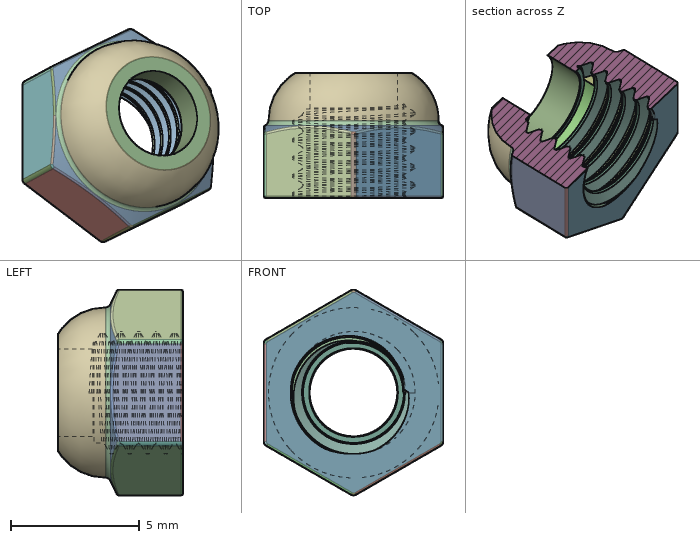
import cadquery as cq
import math

ACROSS_FLATS = 7.0
NUT_HEIGHT = 4.88

HEX_SIDES = 6
CORNER_FILLET = 0.2
FACE_EDGE_FILLET = 0.1
SHOULDER_FILLET = 0.1
SHOULDER_ANGLE = 26.0
SHOULDER_AT_FLAT = 2.81

DOME_RADIUS = 3.32
DOME_START = 3.04
DOME_ARC_RADIUS = 2.14
COLLAR_FILLET = 0.2
RIM_FILLET = 0.04
JOINT_TOLERANCE = 0.01

PITCH = 0.7
MINOR_RADIUS = 1.96
MAJOR_RADIUS = 2.39
ROOT_FLAT = PITCH / 8
FLANK_HALF_ANGLE = 30.0
THREAD_START = -0.18
THREAD_TURNS = 5
CREST_FILLET = 0.1
MOUTH_FILLET = 0.1
MOUTH_SECTIONS = 2
SPIRAL_STEPS = 12
FACE_OVERLAP = 0.01
STEP_TURN = 0.006
GROOVE_OVERLAP = 0.03
RING_BORE_RADIUS = 1.7
RING_HEIGHT = 1.4
RING_FILLET = 0.035

HALF_SIDE_ANGLE = 180 / HEX_SIDES
FLAT_RADIUS = ACROSS_FLATS / 2
CORNER_RADIUS = FLAT_RADIUS / math.cos(math.radians(HALF_SIDE_ANGLE))


def shoulder_height(radius):
    """Height of the conical shoulder at a distance from the axis."""
    return SHOULDER_AT_FLAT - (radius - FLAT_RADIUS) * math.tan(math.radians(SHOULDER_ANGLE))


def make_hex_body():
    """Hexagonal prism with rounded corners and a conical shoulder."""
    prism = (
        cq.Workplane("XY")
        .polygon(HEX_SIDES, 2 * CORNER_RADIUS)
        .extrude(DOME_START)
        .rotate((0, 0, 0), (0, 0, 1), HALF_SIDE_ANGLE)
        .edges("|Z")
        .fillet(CORNER_FILLET)
    )
    cone = (
        cq.Workplane("XZ")
        .moveTo(0, 0)
        .lineTo(CORNER_RADIUS, 0)
        .lineTo(CORNER_RADIUS, shoulder_height(CORNER_RADIUS))
        .lineTo(DOME_RADIUS, shoulder_height(DOME_RADIUS))
        .lineTo(0, shoulder_height(DOME_RADIUS))
        .close()
        .revolve(360, (0, 0), (0, 1))
    )
    body = prism.intersect(cone)
    shoulder_edges = (
        body.faces("%CONE").edges().filter(lambda edge: edge.geomType() != "CIRCLE")
    )
    body = body.newObject(shoulder_edges.vals()).fillet(SHOULDER_FILLET)
    return body.faces("<Z").edges().fillet(FACE_EDGE_FILLET)


def make_collar():
    """Domed collar: an arc that leaves a cylinder tangentially and ends at a flat rim."""
    def dome_point(height):
        rise = height - DOME_START
        inset = DOME_ARC_RADIUS - math.sqrt(DOME_ARC_RADIUS**2 - rise**2)
        return (DOME_RADIUS - inset, height)

    collar = (
        cq.Workplane("XZ")
        .moveTo(0, SHOULDER_AT_FLAT / 2)
        .lineTo(DOME_RADIUS, SHOULDER_AT_FLAT / 2)
        .lineTo(DOME_RADIUS, DOME_START)
        .threePointArc(dome_point((DOME_START + NUT_HEIGHT) / 2), dome_point(NUT_HEIGHT))
        .lineTo(0, NUT_HEIGHT)
        .close()
        .revolve(360, (0, 0), (0, 1))
    )
    return collar.faces(">Z").edges().fillet(RIM_FILLET)


def make_bore():
    """Stepped bore: the threaded hole, then the narrower hole of the locking ring."""
    ring_start = NUT_HEIGHT - RING_HEIGHT
    return (
        cq.Workplane("XZ")
        .moveTo(0, 0)
        .lineTo(MINOR_RADIUS, 0)
        .lineTo(MINOR_RADIUS, ring_start)
        .lineTo(RING_BORE_RADIUS + RING_FILLET, ring_start)
        .radiusArc((RING_BORE_RADIUS, ring_start + RING_FILLET), -RING_FILLET)
        .lineTo(RING_BORE_RADIUS, NUT_HEIGHT)
        .lineTo(0, NUT_HEIGHT)
        .close()
        .revolve(360, (0, 0), (0, 1))
    )


def make_thread_groove():
    """Right-handed helical groove: flat root, straight flanks, rounded crest edges."""
    flank_angle = math.radians(FLANK_HALF_ANGLE)
    root_half = ROOT_FLAT / 2
    mouth_half = root_half + (MAJOR_RADIUS - MINOR_RADIUS) * math.tan(flank_angle)
    crest_turn = math.pi / 2 - flank_angle
    tangent_length = CREST_FILLET * math.tan(crest_turn / 2)
    flank_end_radius = MINOR_RADIUS + tangent_length * math.cos(flank_angle)
    flank_end_half = mouth_half - tangent_length * math.sin(flank_angle)
    groove_half = mouth_half + tangent_length
    inner_radius = MINOR_RADIUS - GROOVE_OVERLAP

    helix = cq.Wire.makeHelix(PITCH, PITCH * THREAD_TURNS, MINOR_RADIUS)
    groove = (
        cq.Workplane("XZ")
        .moveTo(inner_radius, -groove_half)
        .lineTo(MINOR_RADIUS, -groove_half)
        .radiusArc((flank_end_radius, -flank_end_half), -CREST_FILLET)
        .lineTo(MAJOR_RADIUS, -root_half)
        .lineTo(MAJOR_RADIUS, root_half)
        .lineTo(flank_end_radius, flank_end_half)
        .radiusArc((MINOR_RADIUS, groove_half), -CREST_FILLET)
        .lineTo(inner_radius, groove_half)
        .close()
        .sweep(cq.Workplane(helix), isFrenet=True)
    )
    return groove.translate((0, 0, THREAD_START))


def make_spiral(start_radius, end_radius, start_turn, end_turn, height):
    """Edge about the axis whose radius changes evenly with the angle, given in turns."""
    points = []
    for step in range(SPIRAL_STEPS + 1):
        fraction = step / SPIRAL_STEPS
        radius = start_radius + fraction * (end_radius - start_radius)
        angle = 2 * math.pi * (start_turn + fraction * (end_turn - start_turn))
        points.append(cq.Vector(radius * math.cos(angle), radius * math.sin(angle), height))
    return cq.Edge.makeSpline(points)


def make_mouth_outline(depth, inset, climb_end):
    """Closed outline of the rounded thread mouth at one depth below the bearing face.

    It climbs inside the groove, follows the groove root, runs out along the
    overhanging flank, follows the bore and steps back to its start.
    """
    flank_slope = 1 / math.tan(math.radians(FLANK_HALF_ANGLE))
    root_half = ROOT_FLAT / 2
    wedge_offset = MOUTH_FILLET / math.tan(math.radians(FLANK_HALF_ANGLE / 2))

    root_radius = MAJOR_RADIUS + MOUTH_FILLET - inset
    bore_radius = MINOR_RADIUS + MOUTH_FILLET - inset

    def runout_turn(radius):
        rim_radius = radius + inset
        offset = root_half + (MAJOR_RADIUS + wedge_offset - rim_radius) / flank_slope
        return (offset - THREAD_START) / PITCH

    start_radius = MAJOR_RADIUS + flank_slope * (THREAD_START + root_half - depth) - GROOVE_OVERLAP
    root_end = runout_turn(root_radius)
    bore_start = runout_turn(bore_radius)
    step_angle = 2 * math.pi * STEP_TURN
    step = cq.Edge.makeLine(
        cq.Vector(bore_radius * math.cos(step_angle), bore_radius * math.sin(step_angle), depth),
        cq.Vector(start_radius * math.cos(step_angle), start_radius * math.sin(step_angle), depth),
    )
    return cq.Wire.assembleEdges([
        make_spiral(start_radius, root_radius, STEP_TURN, climb_end, depth),
        make_spiral(root_radius, root_radius, climb_end, root_end, depth),
        make_spiral(root_radius, bore_radius, root_end, bore_start, depth),
        make_spiral(bore_radius, bore_radius, bore_start, 1 + STEP_TURN, depth),
        step,
    ])


def make_mouth_rounding():
    """Cutter that rounds the edge between the bearing face and the threaded hole."""
    deepest = MOUTH_FILLET - FACE_OVERLAP
    climb_end = (deepest - ROOT_FLAT / 2 - THREAD_START) / PITCH
    outlines = []
    for section in range(MOUTH_SECTIONS + 1):
        angle = math.pi / 2 * section / MOUTH_SECTIONS
        depth = MOUTH_FILLET * (1 - math.cos(angle)) - FACE_OVERLAP
        inset = MOUTH_FILLET * math.sin(angle)
        outlines.append(make_mouth_outline(depth, inset, climb_end))
    return cq.Workplane(cq.Solid.makeLoft(outlines))


def make_blank():
    """Solid nut: hexagonal body and domed collar with a fillet where they meet."""
    blank = make_hex_body().union(make_collar())
    joint_height = shoulder_height(DOME_RADIUS)
    joint = cq.selectors.BoxSelector(
        (-FLAT_RADIUS, -FLAT_RADIUS, joint_height - JOINT_TOLERANCE),
        (FLAT_RADIUS, FLAT_RADIUS, joint_height + JOINT_TOLERANCE),
    )
    return blank.edges(joint).edges("%CIRCLE").fillet(COLLAR_FILLET)


blank = make_blank()
nut = blank.cut(make_bore()).cut(make_thread_groove()).cut(make_mouth_rounding())
result = nut.rotate((0, 0, 0), (1, 0, 0), -90)